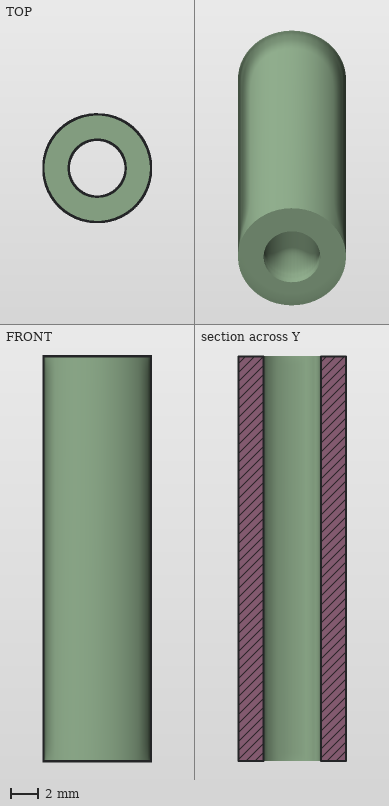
import cadquery as cq

outer_diameter = 8.0
bore_diameter = 4.2
length = 30.0


def make_sleeve():
    """Tube with a through bore, its lower end resting on the XY plane."""
    outer_radius = outer_diameter / 2
    bore_radius = bore_diameter / 2
    return cq.Workplane("XY").circle(outer_radius).circle(bore_radius).extrude(length)


result = make_sleeve()